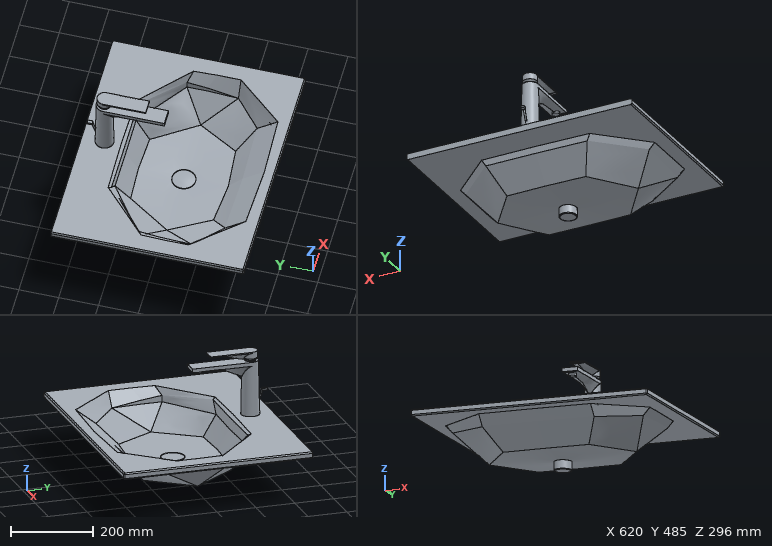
import cadquery as cq
import math


COUNTER_LENGTH = 620.0
COUNTER_DEPTH = 485.0
COUNTER_THICKNESS = 17.0
COUNTER_EDGE_CHAMFER = 3.0

FLOOR_EDGE_Z = -83.0
FLOOR_CENTRE_Z = -91.0
UNDERSIDE_EDGE_Z = -99.0
UNDERSIDE_CENTRE_Z = -108.5
DRAIN_Y = -13.5

RIM = [
    (0, 144.0, 0), (139.0, 141.5, 0), (263.0, 28.0, 0), (265.0, -32.0, 0),
    (265.0, -90.5, 0), (160.0, -209.5, 0), (0, -216.0, 0),
]
LEDGE_TOP = [
    (0, 134.5, -6.0), (133.0, 134.5, -4.5), (239.5, 38.5, -18.5), (239.5, -13.5, -25.0),
    (234.5, -92.0, -35.0), (160.0, -157.5, -41.5), (0, -162.0, -43.5),
]
LEDGE_BOTTOM = [
    (0, 132.5, -35.0), (105.5, 132.5, -32.0), (238.0, 38.5, -35.0), (238.0, -13.5, -35.0), *LEDGE_TOP[4:],
]
FLOOR_SIDE_CORNER = (168.5, DRAIN_Y, FLOOR_EDGE_Z)
FLOOR_EDGE = [
    (0, 100.5, FLOOR_EDGE_Z), (95.0, 96.0, FLOOR_EDGE_Z), *[FLOOR_SIDE_CORNER] * 3,
    (110.5, -116.0, FLOOR_EDGE_Z), (0, -125.0, FLOOR_EDGE_Z),
]
SHELL_TOP_Z = -COUNTER_THICKNESS
SHELL_TOP = [
    (0, 158.0, SHELL_TOP_Z), (149.0, 156.0, SHELL_TOP_Z), (267.0, 41.5, SHELL_TOP_Z),
    (267.0, DRAIN_Y, SHELL_TOP_Z), (267.0, -115.0, SHELL_TOP_Z), (146.5, -202.0, SHELL_TOP_Z),
    (0, -203.5, SHELL_TOP_Z),
]
SHELL_BEND = [
    (0, 153.0, -33.0), (139.5, 152.0, -33.0), (252.5, 41.5, -33.0), (252.5, DRAIN_Y, -33.0),
    (249.0, -113.0, -36.0), (146.5, -178.5, -44.0), (0, -180.5, -44.0),
]
SHELL_SIDE_CORNER = (193.5, DRAIN_Y, UNDERSIDE_EDGE_Z)
SHELL_BOTTOM = [
    (0, 102.0, UNDERSIDE_EDGE_Z), (108.5, 100.5, UNDERSIDE_EDGE_Z), *[SHELL_SIDE_CORNER] * 3,
    (112.0, -126.5, UNDERSIDE_EDGE_Z), (0, -128.0, UNDERSIDE_EDGE_Z),
]

DRAIN_FLANGE_DIAMETER = 59.0
DRAIN_FLANGE_TOP_Z = -88.5
DRAIN_DOME_HEIGHT = 3.0
DRAIN_FLANGE_THICKNESS = 6.0
DRAIN_TAIL_DIAMETER = 44.5
DRAIN_TAIL_CHAMFER = 2.0
DRAIN_BOTTOM_Z = -131.0

COLUMN_Y = 185.5
COLUMN_BASE_DIAMETER = 46.5
COLUMN_TOP_DIAMETER = 41.0
COLUMN_TOP_Z = 139.5
SPOUT_THICKNESS = 10.0
SPOUT_TIP_Y = 30.5
SPOUT_KEEL_ROOT_Z = 88.0
SPOUT_KEEL_BEND = (118.5, 119.5)
SPOUT_KEEL_TIP = (36.0, 127.0)
AERATOR_Y = 51.0
AERATOR_DIAMETER = 20.0
AERATOR_BOTTOM_Z = 121.5

HANDLE_TOP_Z = 165.0
HANDLE_WIDTH = 37.0
HANDLE_BOTTOM_Z = 142.5
HANDLE_CHAMFER = 5.0
NECK_DIAMETER = 28.5
LEVER_TIP_Y = 77.5
LEVER_THICKNESS = 3.0
LEVER_KEEL_TIP = (87.0, 160.5)

ROD_DIAMETER = 4.5
ROD_FOOT = (199.5, 18.5)
ROD_MIDDLE = (211.5, 44.5)
ROD_SHOULDER = (216.5, 60.0)
KNOB_LENGTH = 15.5
KNOB_WIDTH = 8.5
KNOB_THICKNESS = 5.0


def whole_ring(half_ring):
    """Closes a half outline with its mirror image across x = 0."""
    mirrored = [(-x, y, z) for x, y, z in reversed(half_ring[1:-1])]
    return half_ring + mirrored


def patch(upper_start, upper_end, lower_end, lower_start):
    """A straight-ruled face between two segments, or a triangle where corners coincide."""
    corners = list(dict.fromkeys([upper_start, upper_end, lower_end, lower_start]))
    if len(corners) == 3:
        return cq.Face.makeFromWires(cq.Wire.makePolygon([cq.Vector(*c) for c in corners], close=True))
    upper_edge = cq.Edge.makeLine(cq.Vector(*upper_start), cq.Vector(*upper_end))
    lower_edge = cq.Edge.makeLine(cq.Vector(*lower_start), cq.Vector(*lower_end))
    return cq.Face.makeRuledSurface(upper_edge, lower_edge)


def band(upper, lower):
    """The patches that join two rings, leaving out segments that shrink to a point on both rings."""
    patches = []
    for i in range(len(upper)):
        corners = (upper[i - 1], upper[i], lower[i], lower[i - 1])
        if len(set(corners)) > 2:
            patches.append(patch(*corners))
    return patches


def cap(ring, centre=None):
    """A flat face inside a ring, or a smooth dished face when it must pass through a centre point."""
    corners = [cq.Vector(*c) for c in dict.fromkeys(ring)]
    outline = cq.Wire.makePolygon(corners, close=True)
    if centre is None:
        return cq.Face.makeFromWires(outline)
    return cq.Face.makeNSidedSurface(outline.Edges(), [cq.Vector(*centre)])


def ringed_solid(rings, last_centre=None):
    """A solid whose sides run through successive rings; the last ring may be closed by a dished cap."""
    faces = [cap(rings[0]), cap(rings[-1], last_centre)]
    for upper, lower in zip(rings, rings[1:]):
        faces += band(upper, lower)
    solid = cq.Solid.makeSolid(cq.Shell.makeShell(faces))
    return cq.Workplane(solid.fix())


def disc(diameter, y, bottom_z, top_z):
    """An upright cylinder on the plane of symmetry."""
    return cq.Workplane(origin=(0, y, bottom_z)).circle(diameter / 2).extrude(top_z - bottom_z)


def bar(width, back_y, front_y, bottom_z, top_z):
    """A flat rectangular bar that runs forward, centred on the plane of symmetry."""
    size = (width, back_y - front_y, top_z - bottom_z)
    return cq.Workplane(origin=(0, front_y, bottom_z)).box(*size, centered=(True, False, False))


def keel(width, top_z, ridge):
    """A V-shaped rib under a flat bar; ridge lists the (y, z) points of its lower edge."""
    sections = [[(-width / 2, y, top_z), (width / 2, y, top_z), (0, y, z)] for y, z in ridge]
    return ringed_solid(sections)


def make_counter():
    counter = cq.Workplane(origin=(0, 0, -COUNTER_THICKNESS)).box(
        COUNTER_LENGTH, COUNTER_DEPTH, COUNTER_THICKNESS, centered=(True, True, False)
    )
    exposed_ends = counter.faces("<X or >X or <Y").edges("not(>Y)")
    return counter.newObject(exposed_ends.vals()).chamfer(COUNTER_EDGE_CHAMFER)


def make_basin(drain):
    shell_rings = [whole_ring(ring) for ring in (SHELL_TOP, SHELL_BEND, SHELL_BOTTOM)]
    shell = ringed_solid(shell_rings, (0, DRAIN_Y, UNDERSIDE_CENTRE_Z))
    bowl_rings = [whole_ring(ring) for ring in (RIM, LEDGE_TOP, LEDGE_BOTTOM, FLOOR_EDGE)]
    bowl = ringed_solid(bowl_rings, (0, DRAIN_Y, FLOOR_CENTRE_Z))
    return make_counter().union(shell).cut(bowl).cut(drain)


def make_drain():
    flange_bottom_z = DRAIN_FLANGE_TOP_Z - DRAIN_FLANGE_THICKNESS
    flange = disc(DRAIN_FLANGE_DIAMETER, DRAIN_Y, flange_bottom_z, DRAIN_FLANGE_TOP_Z)
    tail = disc(DRAIN_TAIL_DIAMETER, DRAIN_Y, DRAIN_BOTTOM_Z, flange_bottom_z)
    flange_radius = DRAIN_FLANGE_DIAMETER / 2
    dome_radius = (flange_radius ** 2 + DRAIN_DOME_HEIGHT ** 2) / (2 * DRAIN_DOME_HEIGHT)
    dome = (
        cq.Workplane("XZ", origin=(0, DRAIN_Y, DRAIN_FLANGE_TOP_Z))
        .lineTo(flange_radius, 0)
        .radiusArc((0, DRAIN_DOME_HEIGHT), -dome_radius)
        .close().revolve(360, (0, 0), (0, 1))
    )
    return flange.union(dome).union(tail.faces("<Z").chamfer(DRAIN_TAIL_CHAMFER))


def make_faucet(rod):
    column = (
        cq.Workplane(origin=(0, COLUMN_Y, 0)).circle(COLUMN_BASE_DIAMETER / 2)
        .workplane(offset=COLUMN_TOP_Z).circle(COLUMN_TOP_DIAMETER / 2).loft()
    )
    spout_bottom_z = COLUMN_TOP_Z - SPOUT_THICKNESS
    spout = bar(COLUMN_TOP_DIAMETER, COLUMN_Y, SPOUT_TIP_Y, spout_bottom_z, COLUMN_TOP_Z)
    ridge = [(COLUMN_Y, SPOUT_KEEL_ROOT_Z), SPOUT_KEEL_BEND, SPOUT_KEEL_TIP]
    brace = keel(COLUMN_TOP_DIAMETER, spout_bottom_z, ridge)
    aerator = disc(AERATOR_DIAMETER, AERATOR_Y, AERATOR_BOTTOM_Z, spout_bottom_z)
    return column.union(spout).union(brace).union(aerator).cut(rod)


def make_handle():
    neck = disc(NECK_DIAMETER, COLUMN_Y, COLUMN_TOP_Z, HANDLE_BOTTOM_Z)
    hub = disc(HANDLE_WIDTH, COLUMN_Y, HANDLE_BOTTOM_Z, HANDLE_TOP_Z).faces("<Z").chamfer(HANDLE_CHAMFER)
    lever_bottom_z = HANDLE_TOP_Z - LEVER_THICKNESS
    lever = bar(HANDLE_WIDTH, COLUMN_Y, LEVER_TIP_Y, lever_bottom_z, HANDLE_TOP_Z)
    ridge = [(COLUMN_Y, HANDLE_BOTTOM_Z), (COLUMN_Y - HANDLE_WIDTH / 2, HANDLE_BOTTOM_Z), LEVER_KEEL_TIP]
    return neck.union(hub).union(lever).union(keel(HANDLE_WIDTH, lever_bottom_z, ridge))


def make_lift_rod():
    path = cq.Workplane("YZ").moveTo(*ROD_FOOT).spline([ROD_MIDDLE, ROD_SHOULDER], includeCurrent=True)
    rise = math.atan2(ROD_MIDDLE[1] - ROD_FOOT[1], ROD_MIDDLE[0] - ROD_FOOT[0])
    foot_plane = cq.Plane((0, *ROD_FOOT), (1, 0, 0), (0, math.cos(rise), math.sin(rise)))
    stem = cq.Workplane(foot_plane).circle(ROD_DIAMETER / 2).sweep(path)
    knob_y = ROD_SHOULDER[0] + KNOB_LENGTH / 2 - ROD_DIAMETER / 2
    knob = (
        cq.Workplane(origin=(0, knob_y, ROD_SHOULDER[1] - KNOB_THICKNESS / 2))
        .slot2D(KNOB_LENGTH, KNOB_WIDTH, 90).extrude(KNOB_THICKNESS)
    )
    return stem.union(knob)


drain = make_drain()
basin = make_basin(drain)
lift_rod = make_lift_rod()
faucet = make_faucet(lift_rod)
handle = make_handle()

bodies = [basin, drain, faucet, handle, lift_rod]
result = cq.Compound.makeCompound([body.solids().val() for body in bodies])